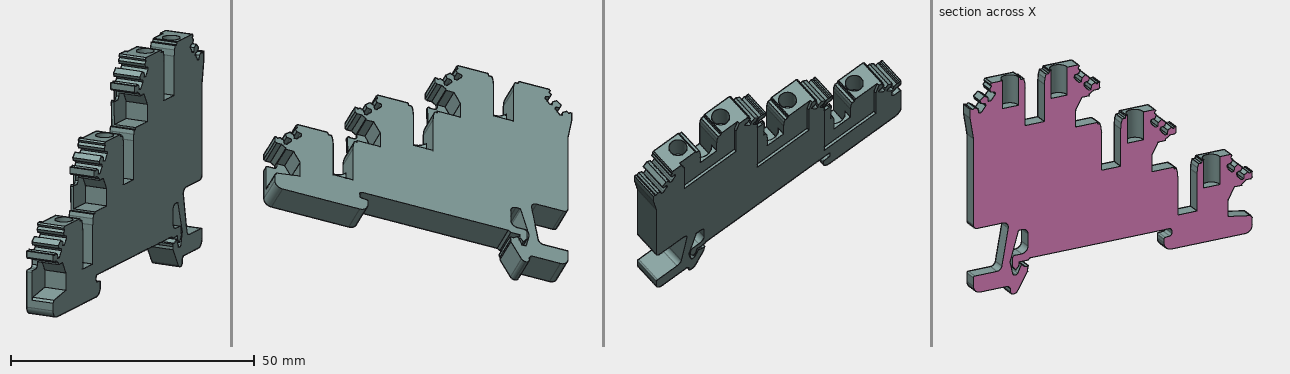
import cadquery as cq
import math


thickness = 6.2
total_height = 48.3

level_count = 3
level_run = 17.7
level_drop = 13.6
head_reach = 15.1
top_level = 0
low_level = level_count - 1

slot_half = 2.15
slot_depth = 6.25
rim_ledge = 0.6
slot_rim = [(slot_half, 2.75), (2.3, 1.45), (2.55, rim_ledge)]
block_base = 7.2
neck = 12.7
shoulder_depth = level_drop + rim_ledge
nose_top = 8.9

tooth_count = 2
tooth_step_u = 2.2
tooth_step_v = 2.15

hole_diameter = 3.7
hole_offset = 5.65
hole_depth = slot_depth
hole_axis_x = 3.6
well_radius = 2.5
well_depth = 4.85

recess_depth = 0.6
window_depth = 11.1
window_half = 6.8
window_shift = 1.6
window_flare = 0.85
window_flare_depth = 2.3
lever_clearance = 9.2

side_wall = 1.25
hollow_back = 9.5
hollow_top = 7.55
hollow_mouth = head_reach + 0.65
hollow_floor = 13.8
low_lip_depth = 15.15
hollow_roof_start = 10.95
hollow_roof_end = 10.1

back_face = 64.85
back_slope_start = 36.7
body_bottom = 7.3
end_foot_bottom = 2.6


def corner(before, point, after, radius):
    """Start, middle and end of the arc that rounds the corner at `point`."""
    to_before = (before[0] - point[0], before[1] - point[1])
    to_after = (after[0] - point[0], after[1] - point[1])
    length_before = math.hypot(*to_before)
    length_after = math.hypot(*to_after)
    a = (to_before[0] / length_before, to_before[1] / length_before)
    b = (to_after[0] / length_after, to_after[1] / length_after)
    half_angle = math.acos(a[0] * b[0] + a[1] * b[1]) / 2
    tangent = radius / math.tan(half_angle)
    bisector = (a[0] + b[0], a[1] + b[1])
    scale = (radius / math.sin(half_angle) - radius) / math.hypot(*bisector)
    start = (point[0] + a[0] * tangent, point[1] + a[1] * tangent)
    middle = (point[0] + bisector[0] * scale, point[1] + bisector[1] * scale)
    end = (point[0] + b[0] * tangent, point[1] + b[1] * tangent)
    return start, middle, end


def plate(outline, x_from, x_to):
    """Extrude an outline of (y, z) or (y, z, corner radius) points from x_from to x_to.

    The last point is the start of the wire and stays sharp.
    """
    wire = cq.Workplane("YZ", origin=(x_from, 0, 0)).moveTo(*outline[-1][:2])
    for i, point in enumerate(outline[:-1]):
        if len(point) == 2:
            wire = wire.lineTo(*point)
        else:
            start, middle, end = corner(outline[i - 1], point, outline[i + 1], point[2])
            wire = wire.lineTo(*start).threePointArc(middle, end)
    return wire.close().extrude(x_to - x_from)


def slot_middle(level):
    return head_reach + level_run * (low_level - level)


def level_top(level):
    return total_height - level_drop * level


def on_level(level, points):
    """Convert (u, v) or (u, v, radius) points of a level to (y, z) or (y, z, radius)."""
    y0 = slot_middle(level)
    z0 = level_top(level)
    return [(y0 - p[0], z0 - p[1], *p[2:]) for p in points]


def head(level):
    """Screw block with its toothed edge, on the -Y side of the slot."""
    outline = [
        (slot_half, window_depth),
        *slot_rim,
        (3.2, rim_ledge),
        (3.35, 0.1),
        (3.55, 0),
        (10.05, 0),
        (10.4, 0.3),
        (10.1, 0.8),
    ]
    tooth_gap = [
        (10.6, 1.3),
        (10.25, 2.05),
        (9.25, 2.2, 0.3),
        (9.2, 2.7),
        (10.25, 4.0, 0.2),
        (10.75, 3.95),
        (10.9, 3.1),
        (11.75, 2.55),
    ]
    for i in range(tooth_count):
        outline += [(p[0] + i * tooth_step_u, p[1] + i * tooth_step_v, *p[2:]) for p in tooth_gap]
    outline += [
        (14.45, 5.1),
        (14.7, 4.85),
        (head_reach, 4.85),
        (head_reach, 6.2),
        (14.7, 6.5),
        (13.65, 6.5),
        (neck, block_base),
        (neck, window_depth),
    ]
    return plate(on_level(level, outline), 0, thickness)


def groove_floor():
    """Lower half of the marker groove, walked from its outer edge to the neck."""
    return [(13.1, nose_top, 0.4), (neck, 8.3), (neck, block_base)]


def slot_floor():
    return [(slot_half, block_base), (slot_half, slot_depth), (-slot_half, slot_depth)]


def step(level):
    """Slot floor of a level and the nose that climbs from it to the level above."""
    rise = on_level(level, slot_floor() + [(-u, v) for u, v in slot_rim])
    nose = [
        (14.65, shoulder_depth),
        (14.85, 9.0),
        (14.5, 8.7),
        (14.25, nose_top),
    ]
    return rise + on_level(level - 1, nose + groove_floor())


def body():
    outline = [
        (back_face, 16.35, 1.0),
        (56.5, 16.35, 1.1),
        (58.4, 5.9, 1.2),
        (back_face, 5.9, 0.3),
        (back_face, 2.0, 1.7),
        (56.7, 2.0, 0.25),
        (56.25, 1.4),
        (56.25, 0, 0.7),
        (54.8, 0, 1.0),
        (52.2, 4.4),
        (52.2, 5.05),
        (52.0, 5.65),
        (52.8, 5.65),
        (53.7, 6.3),
        (54.7, 4.3, 0.4),
        (55.55, 4.3, 0.4),
        (56.25, 7.3, 0.65),
        (54.3, 14.0, 0.25),
        (52.2, 14.0, 1.1),
        (52.2, 8.65, 1.45),
        (55.75, 8.65, 0.5),
        (55.8, 6.3, 0.4),
        (54.95, 5.25),
        (54.2, 6.05),
        (54.15, 6.9),
        (52.2, 6.9),
        (51.6, body_bottom),
        (18.8, body_bottom, 0.5),
        (18.8, 5.8, 0.5),
        (20.6, 5.6, 0.3),
        (20.6, end_foot_bottom, 1.85),
        (0, end_foot_bottom, 1.7),
    ]
    outline += on_level(low_level, [(head_reach, nose_top, 0.3)] + groove_floor())
    for level in range(low_level, top_level, -1):
        outline += step(level)
    high_end = slot_floor() + [
        (-slot_half, block_base),
        (-neck, block_base),
        (-neck, 6.55),
        (-13.45, 5.6),
        (-head_reach, 5.6),
        (-head_reach, 6.9),
    ]
    outline += on_level(top_level, high_end)
    outline += [(back_face, back_slope_start)]
    return plate(outline, 0, thickness)


def window(level):
    """Shallow recess of the flush face around a level's slot."""
    bottom = window_depth
    if level == top_level:
        left = [
            (-window_half, bottom),
            (-window_half, window_flare_depth),
            (-window_half - window_flare, 0),
        ]
        right = window_half
    else:
        right = window_half + window_shift
        left_u = right - 2 * window_half
        left = [(left_u, bottom), (left_u, -lever_clearance), (0, -lever_clearance)]
    outline = left + [(right + window_flare, 0), (right, window_flare_depth), (right, bottom)]
    return plate(on_level(level, outline), 0, recess_depth)


def hollow(level):
    """Hollow open to -Y and +X, behind the thin wall that carries the flush face."""
    outline = [
        (hollow_mouth, hollow_top),
        (hollow_roof_start, hollow_top),
        (hollow_back, hollow_roof_end),
    ]
    if level == low_level:
        outline += [
            (hollow_back, hollow_floor),
            (14.7, 14.65),
            (head_reach, low_lip_depth),
            (hollow_mouth, low_lip_depth),
        ]
    else:
        outline += [(hollow_back, hollow_floor), (hollow_mouth, hollow_floor)]
    return plate(on_level(level, outline), side_wall, thickness)


def screw_hole(level, side):
    y = slot_middle(level) - side * hole_offset
    top = cq.Workplane("XY", origin=(hole_axis_x, y, level_top(level)))
    return top.circle(hole_diameter / 2).extrude(-hole_depth)


def wire_well(level):
    """Round-ended deepening of the slot floor, open to +X."""
    floor = cq.Workplane("XY", origin=(hole_axis_x, slot_middle(level), level_top(level) - slot_depth))
    chord = math.sqrt(well_radius**2 - slot_half**2)
    far = thickness - hole_axis_x
    profile = (
        floor.moveTo(far, slot_half)
        .lineTo(-chord, slot_half)
        .threePointArc((-well_radius, 0), (-chord, -slot_half))
        .lineTo(far, -slot_half)
        .close()
    )
    return profile.extrude(-well_depth)


result = body().union(head(top_level).mirror("XZ", (0, slot_middle(top_level), 0)))
for level in range(level_count):
    result = result.union(head(level))
result = result.cut(screw_hole(top_level, -1))
for level in range(level_count):
    result = result.cut(window(level)).cut(hollow(level))
    result = result.cut(screw_hole(level, 1)).cut(wire_well(level))